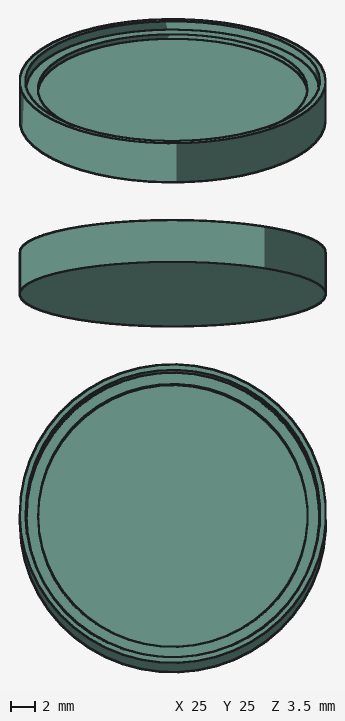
import cadquery as cq

cup_diameter = 25.0
cup_height = 3.5
wall = 0.47
floor_thickness = 1.0
radial_clearance = 0.07
ring_width = 0.95
ring_thickness = 0.4
ring_depth = 0.7

cup_radius = cup_diameter / 2
bore_radius = cup_radius - wall
insert_radius = bore_radius - radial_clearance
ring_bottom = cup_height - ring_depth - ring_thickness
disc_thickness = ring_bottom - floor_thickness


def cylinder(radius, bottom, height):
    """Upright cylinder on the Z axis, starting at the given level."""
    return cq.Workplane("XY").workplane(offset=bottom).circle(radius).extrude(height)


def make_cup():
    """Round cup with a plain floor and a straight bore open at the top."""
    bore = cylinder(bore_radius, floor_thickness, cup_height - floor_thickness)
    return cylinder(cup_radius, 0, cup_height).cut(bore)


def make_disc():
    """Flat disc lying on the cup floor."""
    return cylinder(insert_radius, floor_thickness, disc_thickness)


def make_ring():
    """Flat retaining ring resting on the rim of the disc."""
    opening = cylinder(insert_radius - ring_width, ring_bottom, ring_thickness)
    return cylinder(insert_radius, ring_bottom, ring_thickness).cut(opening)


cup = make_cup()
disc = make_disc()
ring = make_ring()

result = cq.Compound.makeCompound([cup.val(), disc.val(), ring.val()])